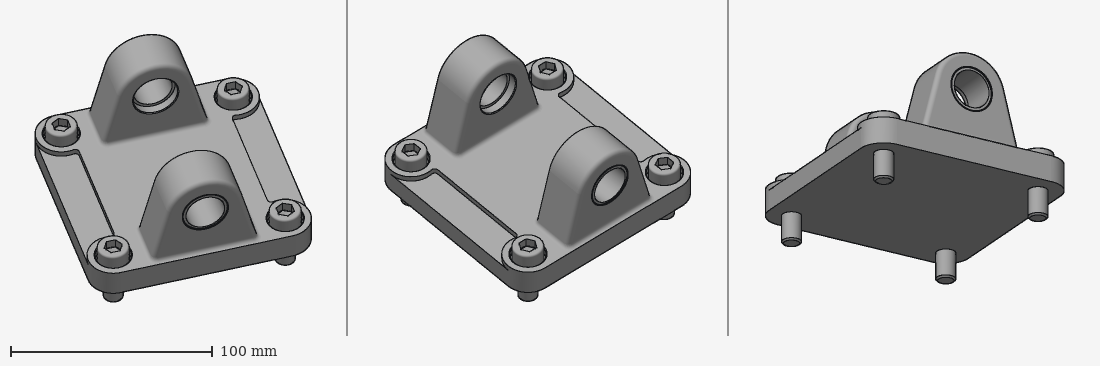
import cadquery as cq
import math

plate_side = 115.0
corner_radius = 13.0
plate_thickness = 14.0

pocket_depth = 3.0
pocket_width = 17.8
pocket_fillet = 2.0

lug_gap = 60.0
lug_thickness = 25.0
lug_radius = 20.0
bore_height = 41.0
flank_angle = math.radians(14.5)
lug_edge_fillet = 2.5
lug_root_fillet = 2.4

bushing_outer_diameter = 23.0
bushing_bore_diameter = 20.0
bushing_length = 20.0
bore_chamfer = 0.5

head_diameter = 16.0
head_height = 10.0
head_fillet = 1.0
shank_diameter = 10.0
shank_length = 25.0
tip_chamfer = 0.9
socket_width = 8.0
socket_depth = 5.1
socket_cone_angle = math.radians(60)

counterbore_diameter = 18.0
counterbore_floor = 10.0
counterbore_chamfer = 0.5

half_side = plate_side / 2
screw_offset = half_side - corner_radius
lug_inner_x = lug_gap / 2
lug_outer_x = lug_inner_x + lug_thickness
bushing_starts = [-lug_outer_x, lug_outer_x - bushing_length]
screw_places = [
    (-screw_offset, -screw_offset, 0),
    (screw_offset, -screw_offset, 90),
    (screw_offset, screw_offset, 180),
    (-screw_offset, screw_offset, 270),
]
screw_points = [(x, y) for x, y, turn in screw_places]


def make_plate():
    """Square plate with round corners."""
    plate = cq.Workplane("XY").rect(plate_side, plate_side).extrude(plate_thickness)
    return plate.edges("|Z").fillet(corner_radius)


def make_edge_pocket():
    """Cutter for the pocket at the -Y edge, which leaves round bosses about the screws."""
    floor = cq.Workplane("XY").workplane(offset=plate_thickness - pocket_depth)
    pocket = floor.center(0, -half_side + pocket_width / 2).rect(2 * screw_offset, pocket_width)
    pocket = pocket.extrude(pocket_depth)
    bosses = floor.pushPoints(screw_points).circle(corner_radius).extrude(pocket_depth)
    pocket = pocket.cut(bosses)
    return pocket.edges("|Z and >Y").fillet(pocket_fillet)


def make_lug():
    """Lug on the +X side: an arc about the bore axis with straight flanks tangent to it."""
    tangent_y = lug_radius * math.cos(flank_angle)
    tangent_z = bore_height + lug_radius * math.sin(flank_angle)
    foot_y = tangent_y + tangent_z * math.tan(flank_angle)
    lug = (
        cq.Workplane("YZ")
        .workplane(offset=lug_inner_x)
        .moveTo(-foot_y, 0)
        .lineTo(-tangent_y, tangent_z)
        .threePointArc((0, bore_height + lug_radius), (tangent_y, tangent_z))
        .lineTo(foot_y, 0)
        .close()
        .extrude(lug_thickness)
    )
    lug = lug.faces("<X or >X").edges("not <Z").fillet(lug_edge_fillet)
    plate_block = cq.Workplane("XY").rect(plate_side, plate_side).extrude(plate_thickness)
    return lug.cut(plate_block)


def make_lug_bore():
    """Cutter for the bore of the +X lug, chamfered at both mouths."""
    radius = bushing_outer_diameter / 2
    mouth_radius = radius + bore_chamfer
    profile = [
        (lug_inner_x, 0),
        (lug_inner_x, mouth_radius),
        (lug_inner_x + bore_chamfer, radius),
        (lug_outer_x - bore_chamfer, radius),
        (lug_outer_x, mouth_radius),
        (lug_outer_x, 0),
    ]
    bore = cq.Workplane("XY").polyline(profile).close().revolve(360, (0, 0, 0), (1, 0, 0))
    return bore.translate((0, 0, bore_height))


def make_housing():
    """Plate with two lugs, edge pockets and counterbored screw holes."""
    lug = make_lug()
    bore = make_lug_bore()
    pocket = make_edge_pocket()
    housing = make_plate().union(lug).union(lug.mirror("YZ"))

    root_zone = cq.selectors.BoxSelector(
        (-lug_outer_x - lug_root_fillet / 2, -screw_offset, plate_thickness - lug_root_fillet / 2),
        (lug_outer_x + lug_root_fillet / 2, screw_offset, plate_thickness + lug_root_fillet / 2),
    )
    housing = housing.edges(root_zone).fillet(lug_root_fillet)

    housing = housing.cut(bore).cut(bore.mirror("YZ"))
    housing = housing.cut(pocket).cut(pocket.mirror("XZ"))

    seat = cq.Workplane("XY").workplane(offset=counterbore_floor).pushPoints(screw_points)
    counterbores = seat.circle(counterbore_diameter / 2).extrude(plate_thickness - counterbore_floor)
    mouths = (
        cq.Workplane("XY")
        .workplane(offset=plate_thickness)
        .pushPoints(screw_points)
        .circle(counterbore_diameter / 2 + counterbore_chamfer)
        .extrude(-counterbore_chamfer, taper=45)
    )
    shank_holes = cq.Workplane("XY").pushPoints(screw_points).circle(shank_diameter / 2)
    shank_holes = shank_holes.extrude(plate_thickness)
    return housing.cut(counterbores).cut(mouths).cut(shank_holes)


def make_bushing(start_x):
    """Plain bushing on the bore axis, reaching from start_x toward +X."""
    return (
        cq.Workplane("YZ", origin=(start_x, 0, bore_height))
        .circle(bushing_outer_diameter / 2)
        .circle(bushing_bore_diameter / 2)
        .extrude(bushing_length)
    )


def make_screw(x, y, turn):
    """Socket head screw with its head resting on the counterbore floor."""
    head = cq.Workplane("XY").circle(head_diameter / 2).extrude(head_height)
    head = head.faces(">Z").edges().fillet(head_fillet)
    shank = cq.Workplane("XY").circle(shank_diameter / 2).extrude(-shank_length)
    shank = shank.faces("<Z").edges().chamfer(tip_chamfer)

    corner_circle = socket_width / math.cos(math.radians(30))
    socket = (
        cq.Workplane("XY")
        .workplane(offset=head_height - socket_depth)
        .polygon(6, corner_circle)
        .extrude(socket_depth)
    )
    cone_depth = corner_circle / 2 / math.tan(socket_cone_angle)
    cone_tip = cq.Vector(0, 0, head_height - socket_depth - cone_depth)
    cone_bottom = cq.Solid.makeCone(0, corner_circle / 2, cone_depth, cone_tip)

    screw = head.union(shank).cut(socket).cut(cq.Workplane(cone_bottom))
    return screw.rotate((0, 0, 0), (0, 0, 1), turn).translate((x, y, counterbore_floor))


housing = make_housing()
bushings = [make_bushing(start_x) for start_x in bushing_starts]
screws = [make_screw(x, y, turn) for x, y, turn in screw_places]

result = cq.Compound.makeCompound([
    housing.val(),
    *[bushing.val() for bushing in bushings],
    *[screw.val() for screw in screws],
])